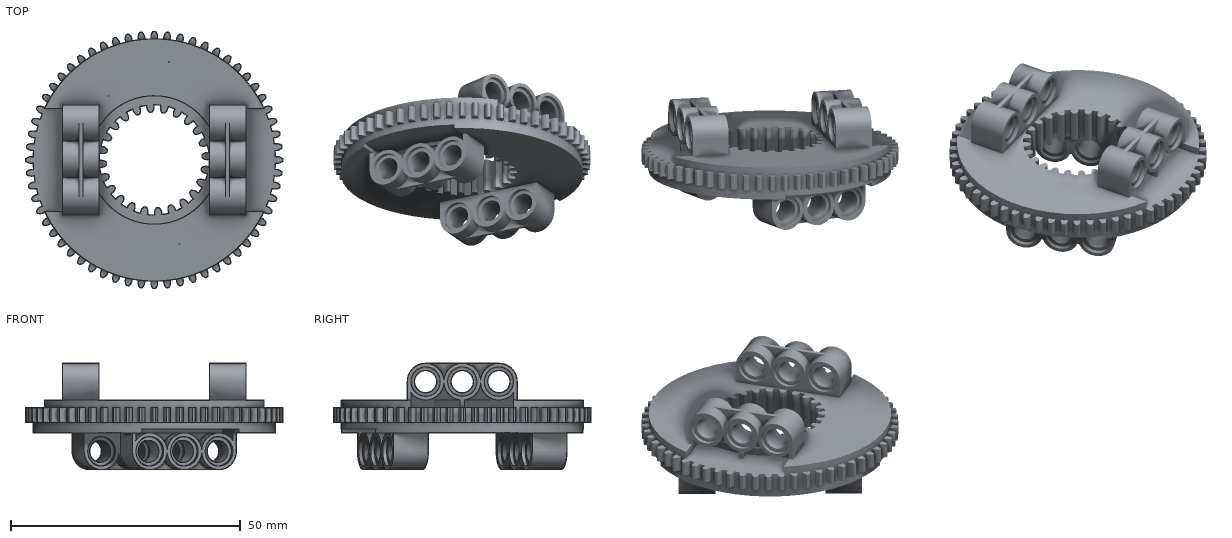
import cadquery as cq
disc_radius = 52.8 / 2
hub_radius = 28 / 2
flange_height = 2.3
gear_height = 3.2
rim_height = 1.7
hub_top = flange_height + gear_height + rim_height

outer_tooth_count = 60
outer_root_half_width = 0.7
outer_flank_radius = 27.45
outer_flank_half_width = 0.6
outer_tip_radius = 28.0
outer_tip_half_width = 0.3
inner_tooth_count = 24
inner_root_radius = 12.0
inner_root_half_width = 0.8
inner_flank_radius = 10.85
inner_flank_half_width = 0.6
inner_tip_radius = 10.4
inner_tip_half_width = 0.3
tooth_root_overlap = 0.3

beam_height = 8.0
tube_radius = beam_height / 2
tube_overlap = 0.03
hole_pitch = beam_height - tube_overlap
beam_half_length = hole_pitch + tube_radius
beam_inner_x = inner_root_radius
beam_outer_x = beam_inner_x + beam_height
beam_middle_x = (beam_inner_x + beam_outer_x) / 2
hole_radius = 4.8 / 2
counterbore_radius = 6.4 / 2
counterbore_depth = 0.9
web_thickness = 0.9
web_outer_x = beam_middle_x + web_thickness / 2

notch_half_width = 11.2
notch_core_radius = 17.5
rim_notch_depth = rim_height
flange_notch_depth = 0.85

base_angle = -70.8


def box(x_range, y_range, z_range):
    """Box between two limits along each axis."""
    size = [end - start for start, end in (x_range, y_range, z_range)]
    corner = (x_range[0], y_range[0], z_range[0])
    return cq.Workplane("XY").box(*size, centered=False).translate(corner)


def teeth(count, height, embedded_radius, root, flank, tip):
    """Separate teeth in a ring on z = 0; root, flank and tip are (radius, half width) pairs."""
    tooth = (
        cq.Workplane("XY")
        .moveTo(embedded_radius, -root[1])
        .lineTo(root[0], -root[1])
        .threePointArc((flank[0], -flank[1]), (tip[0], -tip[1]))
        .lineTo(tip[0], tip[1])
        .threePointArc((flank[0], flank[1]), (root[0], root[1]))
        .lineTo(embedded_radius, root[1])
        .close()
        .extrude(height)
    )
    turns = [index * 360 / count for index in range(count)]
    return cq.Workplane().newObject([tooth.rotate((0, 0, 0), (0, 0, 1), turn).val() for turn in turns])


def x_cylinders(radius, start_x, end_x):
    """One separate cylinder along X on each of the three hole axes."""
    cylinders = []
    for hole_y in (-hole_pitch, 0, hole_pitch):
        section = cq.Workplane("YZ", origin=(start_x, hole_y, tube_radius)).circle(radius)
        cylinders.append(section.extrude(end_x - start_x).val())
    return cylinders


def beam(foot_depth):
    """Beam on the +X side, standing on z = 0, with feet reaching foot_depth below it."""
    full_x = (beam_inner_x, beam_outer_x)
    full_y = (-beam_half_length, beam_half_length)
    lower_half = (0, tube_radius)
    half_web = web_thickness / 2

    body = box((beam_inner_x, web_outer_x), full_y, lower_half)
    if foot_depth > 0:
        foot_y = (-notch_half_width, notch_half_width)
        body = body.union(box((beam_inner_x, web_outer_x), foot_y, (-foot_depth, 0)))
    for tube in x_cylinders(tube_radius, *full_x):
        body = body.union(cq.Workplane(tube))
    for end_y in ((-beam_half_length, -notch_half_width), (notch_half_width, beam_half_length)):
        body = body.union(box(full_x, end_y, lower_half))
    body = body.union(box(
        (beam_middle_x - half_web, web_outer_x),
        (-hole_pitch, hole_pitch),
        (tube_radius, beam_height),
    ))
    body = body.union(box(
        (beam_middle_x, beam_outer_x),
        (-half_web, half_web),
        (-foot_depth, tube_radius),
    ))

    bores = [
        *x_cylinders(hole_radius, *full_x),
        *x_cylinders(counterbore_radius, beam_inner_x, beam_inner_x + counterbore_depth),
        *x_cylinders(counterbore_radius, beam_outer_x - counterbore_depth, beam_outer_x),
    ]
    return body.cut(cq.Workplane().newObject(bores))


def beam_notch(depth):
    """Space cut below z = 0 on the +X side, from the rim in to the round core."""
    notch = box((0, outer_tip_radius), (-notch_half_width, notch_half_width), (-depth, 0))
    return notch.cut(cq.Workplane("XY").circle(notch_core_radius).extrude(-depth))


def on_both_sides(shape):
    """The +X shape and its copy turned half a turn about Z."""
    return [shape, shape.rotate((0, 0, 0), (0, 0, 1), 180)]


def with_beams(body, notch_depth, foot_depth):
    """Add two opposite beams and their notches to a disc whose beam-side face is at z = 0."""
    for notch in on_both_sides(beam_notch(notch_depth)):
        body = body.cut(notch)
    for side_beam in on_both_sides(beam(foot_depth)):
        body = body.union(side_beam)
    return body


def make_gear_ring():
    """Toothed ring with a rim and two beams on top, bored to turn on the hub."""
    thickness = gear_height + rim_height
    ring = cq.Workplane("XY").circle(disc_radius).extrude(thickness)
    outer_teeth = teeth(
        outer_tooth_count,
        gear_height,
        disc_radius - tooth_root_overlap,
        (disc_radius, outer_root_half_width),
        (outer_flank_radius, outer_flank_half_width),
        (outer_tip_radius, outer_tip_half_width),
    )
    ring = with_beams(ring.translate((0, 0, -thickness)), rim_notch_depth, foot_depth=rim_notch_depth)
    ring = ring.translate((0, 0, hub_top))
    ring = ring.union(outer_teeth.translate((0, 0, flange_height)))
    bore = cq.Workplane("XY").circle(hub_radius).extrude(hub_top)
    return ring.cut(bore)


def make_base():
    """Flange with two beams underneath and an internally toothed hub."""
    base = cq.Workplane("XY").circle(disc_radius).extrude(-flange_height)
    base = with_beams(base, flange_notch_depth, foot_depth=0)
    base = base.rotate((0, 0, 0), (1, 0, 0), 180)
    base = base.union(cq.Workplane("XY").circle(hub_radius).extrude(hub_top))
    base = base.cut(cq.Workplane("XY").circle(inner_root_radius).extrude(hub_top))
    inner_teeth = teeth(
        inner_tooth_count,
        hub_top,
        inner_root_radius + tooth_root_overlap,
        (inner_root_radius, inner_root_half_width),
        (inner_flank_radius, inner_flank_half_width),
        (inner_tip_radius, inner_tip_half_width),
    )
    base = base.union(inner_teeth)
    return base.rotate((0, 0, 0), (0, 0, 1), base_angle)


gear_ring = make_gear_ring()
base = make_base()
result = cq.Compound.makeCompound([gear_ring.val(), base.val()])